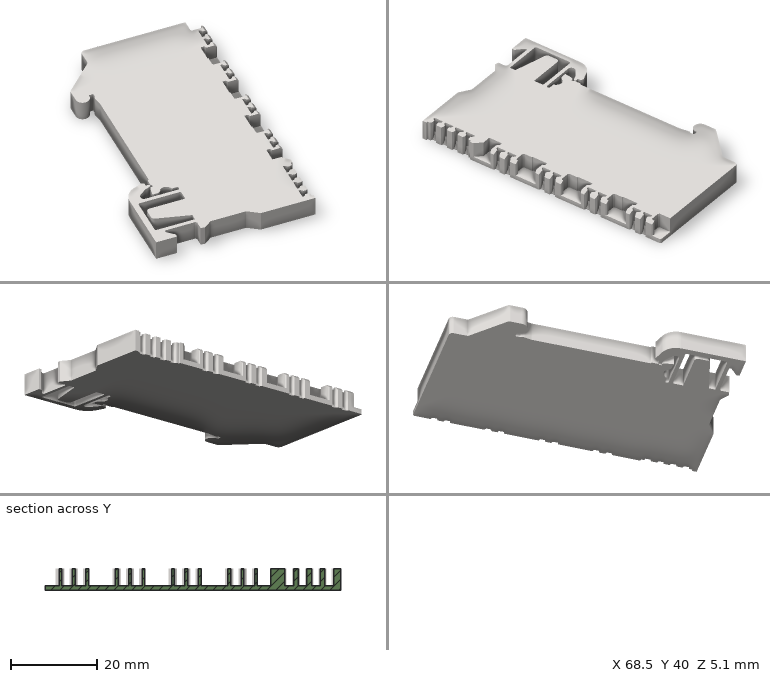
import cadquery as cq
LENGTH = 68.5
DEPTH = 40.0
THICKNESS = 5.1
OVERCUT = 0.7

CORNER_RADIUS = 0.95
TIP_CHAMFER = 0.3
SIDE_BOTTOM_Y = 9.9
HOOK_Y = 2.3
HOOK_TOE_X = 12.0
HOOK_NOSE_X = 15.2
HOOK_TOP_Y = 5.75
HOOK_THROAT_X = 14.9
RAIL_SEAT_Y = 7.0
SEAT_LIP_Y = 6.65
SHOULDER_Y = 11.45
LEG_GAP_LEFT = 52.55
LEG_GAP_RIGHT = 53.4
FOOT_LEG_X = 65.5
WAIST_X = 66.6
FOOT_LIP_Y = 5.3

WINDOW_LEFT = 54.4
WINDOW_RIGHT = 64.5
WINDOW_BOTTOM = 1.45
WINDOW_TOP = 12.2
WINDOW_RADIUS = 0.4
TONGUE_LEFT = 57.0
TONGUE_BOTTOM = 2.3
TONGUE_TIP_RIGHT = 60.55
TONGUE_ROOT_RIGHT = 62.95
TONGUE_RADIUS = 0.9

FLOOR_Z = 1.15
GROUP_PITCH = 13.0
GROUP_COUNT = 4
SLOTS_PER_GROUP = 2
SLOT_PITCH = 3.1
FIRST_SLOT_X = 5.15
FIRST_POCKET_X = 10.15
FULL_POCKET_COUNT = 3
LAST_POCKET_X = FIRST_POCKET_X + FULL_POCKET_COUNT * GROUP_PITCH
END_GROUP_START = 54.95
END_GROUP_STOP = 67.4
END_GROUP_DROP = 0.5
END_GROUP_FIRST_SLOT_X = 56.5
END_GROUP_SLOT_COUNT = 4
BEVEL_WIDTH = 0.7
BEVEL_DROP = 0.7

MOUTH_HALF_WIDTH = 0.8
HEAD_TOP_HALF_WIDTH = 0.75
NECK_HALF_WIDTH = 0.58
HEAD_HALF_WIDTH = 1.15
MOUTH_DEPTH = 0.55
NECK_DEPTH = 1.2
HEAD_SHOULDER_DEPTH = 1.65
HEAD_DEPTH = 2.1
NECK_FLOOR_DROP = 1.0

POCKET_DEPTH = 3.7
POCKET_TOE_DEPTH = 3.9
POCKET_TOE_START = 2.8
POCKET_TOE_REACH = 0.6
POCKET_STEP_DEPTH = 0.8
POCKET_CHAMFER = 0.3
POCKET_WIDTH = 6.1
POCKET_NECK_WIDTH = 5.5
POCKET_TOE_END = 3.55
CORNER_POCKET_WIDTH = 3.3
CORNER_POCKET_NECK_WIDTH = 2.4
LAST_POCKET_WIDTH = 3.0
LAST_POCKET_SLOPE = 1.7
POCKET_FLARE = 0.2


def prism(points, bottom, top):
    """Straight-sided solid over a closed XY outline."""
    return cq.Workplane("XY").workplane(offset=bottom).polyline(points).close().extrude(top - bottom)


def bar_along_x(section, start, stop):
    """Solid with a YZ section, running from start to stop along X."""
    return cq.Workplane("YZ").workplane(offset=start).polyline(section).close().extrude(stop - start)


def plate():
    """Full outline, including both rail hooks and the spring foot's outer sides."""
    end_group_y = DEPTH - END_GROUP_DROP
    hook_nose_radius = (HOOK_TOP_Y - HOOK_Y) / 2
    leg_gap_middle = (LEG_GAP_LEFT + LEG_GAP_RIGHT) / 2
    outline = (
        cq.Workplane("XY")
        .moveTo(TIP_CHAMFER, DEPTH)
        .lineTo(0, DEPTH - TIP_CHAMFER)
        .lineTo(0, SIDE_BOTTOM_Y)
        .lineTo(4.4, SIDE_BOTTOM_Y)
        .lineTo(HOOK_TOE_X, HOOK_Y)
        .lineTo(HOOK_NOSE_X, HOOK_Y)
        .threePointArc((HOOK_NOSE_X + hook_nose_radius, HOOK_Y + hook_nose_radius), (HOOK_NOSE_X, HOOK_TOP_Y))
        .lineTo(HOOK_THROAT_X, HOOK_TOP_Y)
        .lineTo(HOOK_THROAT_X, 6.85)
        .lineTo(16.0, 6.85)
        .lineTo(16.3, SEAT_LIP_Y)
        .lineTo(17.0, SEAT_LIP_Y)
        .lineTo(18.85, RAIL_SEAT_Y)
        .lineTo(47.55, RAIL_SEAT_Y)
        .lineTo(47.8, SEAT_LIP_Y)
        .lineTo(49.4, SEAT_LIP_Y)
        .lineTo(49.6, 6.9)
        .lineTo(50.2, 6.9)
        .lineTo(50.2, 6.4)
        .lineTo(50.8, 6.0)
        .lineTo(52.8, 5.75)
        .lineTo(52.75, 6.7)
        .threePointArc((52.5, 7.7), (51.8, 8.1))
        .threePointArc((51.4, 9.05), (LEG_GAP_LEFT, 10.7))
        .lineTo(LEG_GAP_LEFT, 11.9)
        .threePointArc((leg_gap_middle, 12.3), (LEG_GAP_RIGHT, 11.9))
        .lineTo(LEG_GAP_RIGHT, 3.4)
        .threePointArc((52.6, 2.8), (51.65, 3.35))
        .lineTo(50.4, 4.9)
        .lineTo(50.15, 5.75)
        .lineTo(49.9, 6.4)
        .lineTo(49.5, 6.5)
        .lineTo(49.25, 6.15)
        .lineTo(49.25, 5.55)
        .lineTo(48.5, 5.55)
        .lineTo(48.15, 4.9)
        .lineTo(49.1, 2.3)
        .threePointArc((50.55, 0.7), (52.8, 0))
        .lineTo(LENGTH, 0)
        .lineTo(LENGTH, FOOT_LIP_Y)
        .lineTo(67.75, FOOT_LIP_Y)
        .lineTo(66.45, 3.85)
        .lineTo(65.95, 3.4)
        .lineTo(FOOT_LEG_X, 3.4)
        .lineTo(FOOT_LEG_X, 11.1)
        .lineTo(65.8, SHOULDER_Y)
        .lineTo(67.9, SHOULDER_Y)
        .lineTo(68.1, 12.4)
        .lineTo(WAIST_X, 14.5)
        .lineTo(WAIST_X, 23.4)
        .lineTo(LENGTH, 26.3)
        .lineTo(LENGTH, DEPTH)
        .lineTo(END_GROUP_STOP, DEPTH)
        .lineTo(END_GROUP_STOP, end_group_y)
        .lineTo(END_GROUP_START, end_group_y)
        .lineTo(END_GROUP_START, DEPTH)
        .close()
    )
    body = outline.extrude(THICKNESS)
    rounded_corners = [(0, SIDE_BOTTOM_Y), (HOOK_TOE_X, HOOK_Y)]
    for x, y in rounded_corners:
        corner = cq.selectors.NearestToPointSelector((x, y, THICKNESS / 2))
        body = body.edges("|Z").edges(corner).fillet(CORNER_RADIUS)
    return body


def foot_window():
    """Through opening of the spring foot, leaving the tapered tongue inside it."""
    opening = prism(
        [
            (WINDOW_LEFT, WINDOW_BOTTOM),
            (WINDOW_RIGHT, WINDOW_BOTTOM),
            (WINDOW_RIGHT, WINDOW_TOP),
            (WINDOW_LEFT, WINDOW_TOP),
        ],
        0,
        THICKNESS,
    ).edges("|Z").fillet(WINDOW_RADIUS)
    beyond_x = WINDOW_RIGHT + OVERCUT
    beyond_y = WINDOW_TOP + OVERCUT
    tongue = prism(
        [
            (TONGUE_LEFT, beyond_y),
            (TONGUE_LEFT, TONGUE_BOTTOM),
            (TONGUE_TIP_RIGHT, TONGUE_BOTTOM),
            (TONGUE_ROOT_RIGHT, SHOULDER_Y),
            (beyond_x, SHOULDER_Y),
            (beyond_x, beyond_y),
        ],
        0,
        THICKNESS,
    ).edges("|Z and <Y").fillet(TONGUE_RADIUS)
    return opening.cut(tongue)


def pocket(points):
    """Cutter for an open recess that leaves a thin floor under it."""
    return prism(points, FLOOR_Z, THICKNESS + OVERCUT)


def pocket_wall(x):
    """Left wall and toe shared by the pockets that start at x."""
    toe_x = x - POCKET_TOE_REACH
    toe_top = DEPTH - POCKET_TOE_START
    return [
        (x - POCKET_FLARE, DEPTH + OVERCUT),
        (x - POCKET_FLARE, DEPTH),
        (x, DEPTH - POCKET_FLARE),
        (x, toe_top),
        (toe_x + POCKET_CHAMFER, toe_top),
        (toe_x, toe_top - POCKET_CHAMFER),
        (toe_x, DEPTH - POCKET_TOE_DEPTH),
    ]


def corner_pocket():
    """Recess that takes in the whole corner at the left side."""
    floor_y = DEPTH - POCKET_DEPTH
    step_y = DEPTH - POCKET_STEP_DEPTH
    return pocket(
        [
            (-OVERCUT, DEPTH + OVERCUT),
            (-OVERCUT, floor_y),
            (CORNER_POCKET_WIDTH - POCKET_CHAMFER, floor_y),
            (CORNER_POCKET_WIDTH, floor_y + POCKET_CHAMFER),
            (CORNER_POCKET_WIDTH, step_y - POCKET_CHAMFER),
            (CORNER_POCKET_WIDTH - POCKET_CHAMFER, step_y),
            (CORNER_POCKET_NECK_WIDTH, step_y),
            (CORNER_POCKET_NECK_WIDTH, DEPTH - POCKET_FLARE),
            (CORNER_POCKET_NECK_WIDTH + POCKET_FLARE, DEPTH),
            (CORNER_POCKET_NECK_WIDTH + POCKET_FLARE, DEPTH + OVERCUT),
        ]
    )


def full_pocket(x):
    """Stepped recess between two marker groups."""
    floor_y = DEPTH - POCKET_DEPTH
    step_y = DEPTH - POCKET_STEP_DEPTH
    return pocket(
        pocket_wall(x)
        + [
            (x + POCKET_TOE_END, DEPTH - POCKET_TOE_DEPTH),
            (x + POCKET_TOE_END, floor_y),
            (x + POCKET_WIDTH - POCKET_CHAMFER, floor_y),
            (x + POCKET_WIDTH, floor_y + POCKET_CHAMFER),
            (x + POCKET_WIDTH, step_y - POCKET_CHAMFER),
            (x + POCKET_WIDTH - POCKET_CHAMFER, step_y),
            (x + POCKET_NECK_WIDTH, step_y),
            (x + POCKET_NECK_WIDTH, DEPTH - POCKET_FLARE),
            (x + POCKET_NECK_WIDTH + POCKET_FLARE, DEPTH),
            (x + POCKET_NECK_WIDTH + POCKET_FLARE, DEPTH + OVERCUT),
        ]
    )


def last_pocket(x):
    """Narrow pocket whose right wall opens out at 45 degrees to the marker edge."""
    right_x = x + LAST_POCKET_WIDTH
    return pocket(
        pocket_wall(x)
        + [
            (right_x, DEPTH - POCKET_TOE_DEPTH),
            (right_x, DEPTH - LAST_POCKET_SLOPE),
            (right_x + LAST_POCKET_SLOPE, DEPTH),
            (right_x + LAST_POCKET_SLOPE, DEPTH + OVERCUT),
        ]
    )


def marker_slot(x, edge_y):
    """Undercut slot: a through mouth, a neck with a sloping floor and a wide head."""
    mouth_y = edge_y - MOUTH_DEPTH
    neck_y = edge_y - NECK_DEPTH
    shoulder_y = edge_y - HEAD_SHOULDER_DEPTH
    head_y = edge_y - HEAD_DEPTH
    mouth = prism(
        [
            (x - NECK_HALF_WIDTH, mouth_y),
            (x + NECK_HALF_WIDTH, mouth_y),
            (x + MOUTH_HALF_WIDTH, edge_y),
            (x + MOUTH_HALF_WIDTH, edge_y + OVERCUT),
            (x - MOUTH_HALF_WIDTH, edge_y + OVERCUT),
            (x - MOUTH_HALF_WIDTH, edge_y),
        ],
        -OVERCUT,
        THICKNESS + OVERCUT,
    )
    neck = bar_along_x(
        [
            (neck_y, FLOOR_Z),
            (mouth_y, FLOOR_Z - NECK_FLOOR_DROP),
            (mouth_y, THICKNESS + OVERCUT),
            (neck_y, THICKNESS + OVERCUT),
        ],
        x - NECK_HALF_WIDTH,
        x + NECK_HALF_WIDTH,
    )
    head = prism(
        [
            (x - HEAD_TOP_HALF_WIDTH, neck_y),
            (x - HEAD_HALF_WIDTH, shoulder_y),
            (x - HEAD_HALF_WIDTH, head_y),
            (x + HEAD_HALF_WIDTH, head_y),
            (x + HEAD_HALF_WIDTH, shoulder_y),
            (x + HEAD_TOP_HALF_WIDTH, neck_y),
        ],
        FLOOR_Z,
        THICKNESS + OVERCUT,
    )
    return mouth.union(neck).union(head)


def edge_bevel():
    """Bevel of the marker edge on the top face, from the left side to the last pocket."""
    section = [(DEPTH - BEVEL_WIDTH, THICKNESS), (DEPTH, THICKNESS - BEVEL_DROP), (DEPTH, THICKNESS)]
    return bar_along_x(section, 0, LAST_POCKET_X)


result = plate().cut(foot_window())
result = result.cut(edge_bevel())

result = result.cut(corner_pocket())
for index in range(FULL_POCKET_COUNT):
    result = result.cut(full_pocket(FIRST_POCKET_X + index * GROUP_PITCH))
result = result.cut(last_pocket(LAST_POCKET_X))

for group in range(GROUP_COUNT):
    for position in range(SLOTS_PER_GROUP):
        slot_x = FIRST_SLOT_X + group * GROUP_PITCH + position * SLOT_PITCH
        result = result.cut(marker_slot(slot_x, DEPTH))

for position in range(END_GROUP_SLOT_COUNT):
    slot_x = END_GROUP_FIRST_SLOT_X + position * SLOT_PITCH
    result = result.cut(marker_slot(slot_x, DEPTH - END_GROUP_DROP))